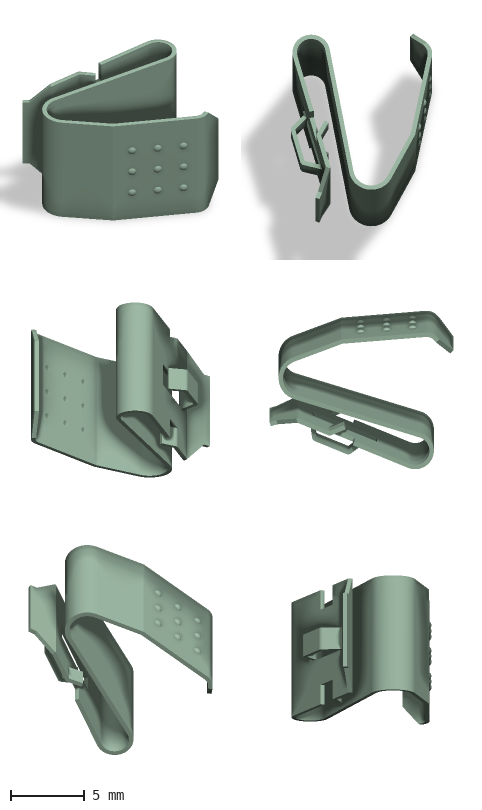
import cadquery as cq
import math

thickness = 0.3
half_sheet = thickness / 2
strip_width = 7.95
half_width = strip_width / 2

tongue_length = 1.94
tongue_kink = 38.0
front_leaf_length = 8.19
leaf_lean = 5.3
top_bend_radius = 0.97

back_leaf_length = 8.9
lower_bend_angle = 142.0
lower_bend_radius = 1.23
lower_leg_length = 3.49
leg_kink = 16.0
upper_leg_length = 5.7
tip_bend_angle = 52.0
tip_bend_radius = 0.7
tip_length = 1.62

taper_size = 1.4

tab_corner = 2.3
notch_end = 4.12
notch_depth = 1.36
tab_angle = 45.0
tab_length = 1.05

latch_corner = 0.94
window_end = 5.8
latch_width = 1.52
latch_angle = 60.0
latch_leg_length = 1.31
latch_back_length = 2.34
latch_end_length = 1.12

dimple_count = 3
dimple_pitch = 1.77
dimple_grid_centre = 3.05
dome_radius = 0.28
dome_height = 0.15
dent_radius = 0.2
dent_depth = 0.07


def move(point, heading, distance):
    """Return the point reached by going a distance along a heading."""
    angle = math.radians(heading)
    return (point[0] + distance * math.cos(angle), point[1] + distance * math.sin(angle))


def straight(length):
    return ("straight", length, 0)


def bend(angle, inner_radius):
    """A round bend; with no inner radius the inside corner is sharp."""
    return ("bend", angle, inner_radius)


def kink(angle):
    """A mitred bend, sharp on both sides."""
    return ("kink", angle, 0)


def walk(start, heading, steps):
    """Follow the middle of the sheet through the steps.

    Returns the left face, the right face and the stations. A face is a list of
    (end point, arc middle or None); a station is the point and heading after each step.
    """
    point = start
    faces = {side: [(move(point, heading + side, half_sheet), None)] for side in (90, -90)}
    stations = [(point, heading)]
    for kind, amount, inner_radius in steps:
        if kind == "straight":
            point = move(point, heading, amount)
            for side, face in faces.items():
                face.append((move(point, heading + side, half_sheet), None))
        elif kind == "kink":
            mitre = half_sheet / math.cos(math.radians(amount / 2))
            for side, face in faces.items():
                face[-1] = (move(point, heading + amount / 2 + side, mitre), None)
            heading += amount
        else:
            inside = math.copysign(90, amount)
            centre = move(point, heading + inside, inner_radius + half_sheet)
            point = move(centre, heading + amount - inside, inner_radius + half_sheet)
            for side, face in faces.items():
                radius = inner_radius if side == inside else inner_radius + thickness
                if radius > 0:
                    arc_middle = move(centre, heading + amount / 2 - inside, radius)
                    face.append((move(centre, heading + amount - inside, radius), arc_middle))
            heading += amount
        stations.append((point, heading))
    return faces[90], faces[-90], stations


def draw_edge(outline, end, arc_middle):
    if arc_middle:
        return outline.threePointArc(arc_middle, end)
    return outline.lineTo(*end)


def bent_strip(plane, left, right, width):
    """Extrude the sheet between two faces to a width centred on the plane."""
    outline = cq.Workplane(plane).moveTo(*left[0][0])
    for end, arc_middle in left[1:]:
        outline = draw_edge(outline, end, arc_middle)
    outline = outline.lineTo(*right[-1][0])
    for (end, _), (_, arc_middle) in zip(right[-2::-1], right[:0:-1]):
        outline = draw_edge(outline, end, arc_middle)
    return outline.close().extrude(width / 2, both=True)


def flat_plane(station, z=0):
    """Plane across the strip edge: x along the sheet, y to its left."""
    (x, y), heading = station
    return cq.Plane(origin=(x, y, z), xDir=(*move((0, 0), heading, 1), 0), normal=(0, 0, 1))


def face_plane(station):
    """Plane in the middle of the sheet: x along the sheet, y up, normal to its right."""
    (x, y), heading = station
    along = (*move((0, 0), heading, 1), 0)
    rightward = (*move((0, 0), heading - 90, 1), 0)
    return cq.Plane(origin=(x, y, 0), xDir=along, normal=rightward)


def taper_end(body, station, start, length):
    """Cut both corners of a strip end at 45 degrees, then straight on to the end."""
    inner_edge = half_width - taper_size
    for side in (1, -1):
        corner = [
            (start, side * half_width),
            (start + taper_size, side * inner_edge),
            (start + length, side * inner_edge),
            (start + length, side * half_width),
        ]
        cutter = cq.Workplane(face_plane(station)).polyline(corner).close()
        body = body.cut(cutter.extrude(thickness, both=True))
    return body


def leaf_opening(start, end, width, z):
    """Block that opens the front leaf between two distances from the kink."""
    return (
        cq.Workplane(flat_plane(leaf, z))
        .center((start + end) / 2, 0)
        .box(end - start, 2 * thickness, width)
    )


def lanced_strip(corner, steps, width, z):
    """Strip that leaves the front leaf at a corner, overlapping the leaf by one thickness."""
    left, right, _ = walk((corner - thickness, 0), 0, [straight(thickness)] + steps)
    return bent_strip(flat_plane(leaf, z), left, right, width)


def spherical_caps(places, base, radius, height):
    """Caps on the upper leg, rising outward from a base at a distance from the middle of the sheet."""
    ball_radius = (radius**2 + height**2) / (2 * height)
    plane = face_plane(upper_leg)
    balls = cq.Workplane(plane).workplane(offset=base + height - ball_radius)
    balls = balls.pushPoints(places).sphere(ball_radius)
    outward_side = (
        cq.Workplane(plane)
        .workplane(offset=base)
        .center(upper_leg_length / 2, 0)
        .rect(upper_leg_length, strip_width)
        .extrude(2 * height)
    )
    return balls.intersect(outward_side)


steps = [
    straight(tongue_length),
    kink(tongue_kink),
    straight(front_leaf_length),
    bend(-180 - leaf_lean, top_bend_radius),
    straight(back_leaf_length),
    bend(lower_bend_angle, lower_bend_radius),
    straight(lower_leg_length),
    kink(leg_kink),
    straight(upper_leg_length),
    bend(tip_bend_angle, tip_bend_radius),
    straight(tip_length),
]
tongue_heading = 90 + leaf_lean - tongue_kink
left_face, right_face, stations = walk((0, 0), tongue_heading, steps)
leaf = stations[2]
upper_leg = stations[8]
tip_end = stations[-1]
clip = bent_strip(cq.Plane.XY(), left_face, right_face, strip_width)

tongue_root = (leaf[0], tongue_heading + 180)
tongue_taper_start = half_sheet * math.tan(math.radians(tongue_kink / 2))
clip = taper_end(clip, tongue_root, tongue_taper_start, tongue_length)
clip = taper_end(clip, tip_end, -taper_size, taper_size + thickness)

tab_z = half_width - notch_depth / 2
tab_steps = [bend(-tab_angle, 0), straight(tab_length)]
for z in (tab_z, -tab_z):
    clip = clip.cut(leaf_opening(tab_corner, notch_end, notch_depth, z))
    clip = clip.union(lanced_strip(tab_corner, tab_steps, notch_depth, z))

latch_steps = [
    bend(latch_angle, 0),
    straight(latch_leg_length),
    bend(-latch_angle, 0),
    straight(latch_back_length),
    bend(-latch_angle, 0),
    straight(latch_end_length),
]
clip = clip.cut(leaf_opening(latch_corner, window_end, latch_width, 0))
clip = clip.union(lanced_strip(latch_corner, latch_steps, latch_width, 0))

half_grid = (dimple_count - 1) / 2
dimple_offsets = [(index - half_grid) * dimple_pitch for index in range(dimple_count)]
dimple_places = [(dimple_grid_centre + along, up) for along in dimple_offsets for up in dimple_offsets]
domes = spherical_caps(dimple_places, half_sheet, dome_radius, dome_height)
dents = spherical_caps(dimple_places, -half_sheet, dent_radius, dent_depth)

result = clip.union(domes).cut(dents)